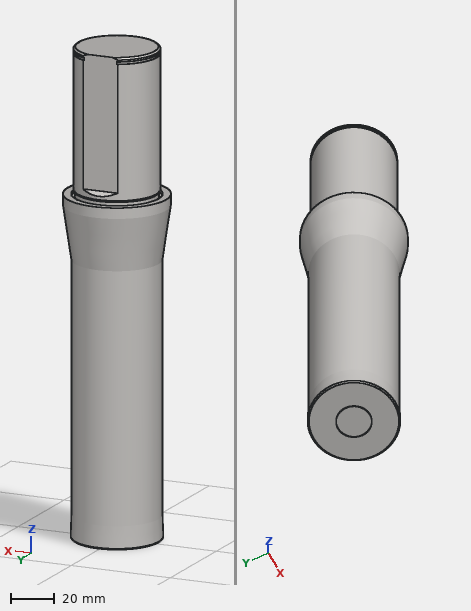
import cadquery as cq

total_height = 234.0

foot_height = 0.5
foot_diameter = 16.4
base_diameter = 42.5
base_top = 11.7
base_chamfer = 0.7
grip_diameter = 42.0
flare_bottom = 133.0
flare_top = 159.0
collar_diameter = 49.5
collar_top = 164.0
socket_diameter = 42.0
socket_depth = 1.5

rod_diameter = 40.0
neck_diameter = 38.5
groove_diameter = 39.5
rod_seat = collar_top - socket_depth
neck_top = 165.2
neck_chamfer_height = 1.0
groove_bottom = 231.0
groove_height = 1.2
tip_chamfer = 1.0
flat_offset = 18.0
flat_bottom = 167.8


def revolve_profile(points):
    """Revolve a closed (radius, height) outline about the Z axis."""
    return cq.Workplane("XZ").polyline(points).close().revolve(360, (0, 0), (0, 1))


def make_handle():
    """Grip tube with a base cap, a flared collar and a shallow seat for the rod."""
    base_radius = base_diameter / 2
    grip_radius = grip_diameter / 2
    collar_radius = collar_diameter / 2
    return revolve_profile([
        (0, 0),
        (foot_diameter / 2, 0),
        (foot_diameter / 2, foot_height),
        (base_radius - base_chamfer, foot_height),
        (base_radius, foot_height + base_chamfer),
        (grip_radius, base_top),
        (grip_radius, flare_bottom),
        (collar_radius, flare_top),
        (collar_radius, collar_top),
        (socket_diameter / 2, collar_top),
        (socket_diameter / 2, rod_seat),
        (0, rod_seat),
    ])


def make_flat_cutter():
    """Block beyond the rod's flat, with a 45 degree slope at its lower end."""
    reach = rod_diameter / 2
    slope_run = reach - flat_offset
    return (
        cq.Workplane("YZ")
        .polyline([
            (flat_offset, flat_bottom + slope_run),
            (reach, flat_bottom),
            (reach, total_height),
            (flat_offset, total_height),
        ])
        .close()
        .extrude(rod_diameter / 2, both=True)
    )


def make_rod():
    """Cylinder with a narrow chamfered neck, a rim groove, a chamfered tip and one flat."""
    rod_radius = rod_diameter / 2
    neck_radius = neck_diameter / 2
    groove_radius = groove_diameter / 2
    groove_top = groove_bottom + groove_height
    rod = revolve_profile([
        (0, rod_seat),
        (neck_radius, rod_seat),
        (neck_radius, neck_top),
        (rod_radius, neck_top + neck_chamfer_height),
        (rod_radius, groove_bottom),
        (groove_radius, groove_bottom),
        (groove_radius, groove_top),
        (rod_radius, groove_top),
        (rod_radius, total_height - tip_chamfer),
        (rod_radius - tip_chamfer, total_height),
        (0, total_height),
    ])
    return rod.cut(make_flat_cutter())


handle = make_handle()
rod = make_rod()

result = cq.Compound.makeCompound([handle.val(), rod.val()])